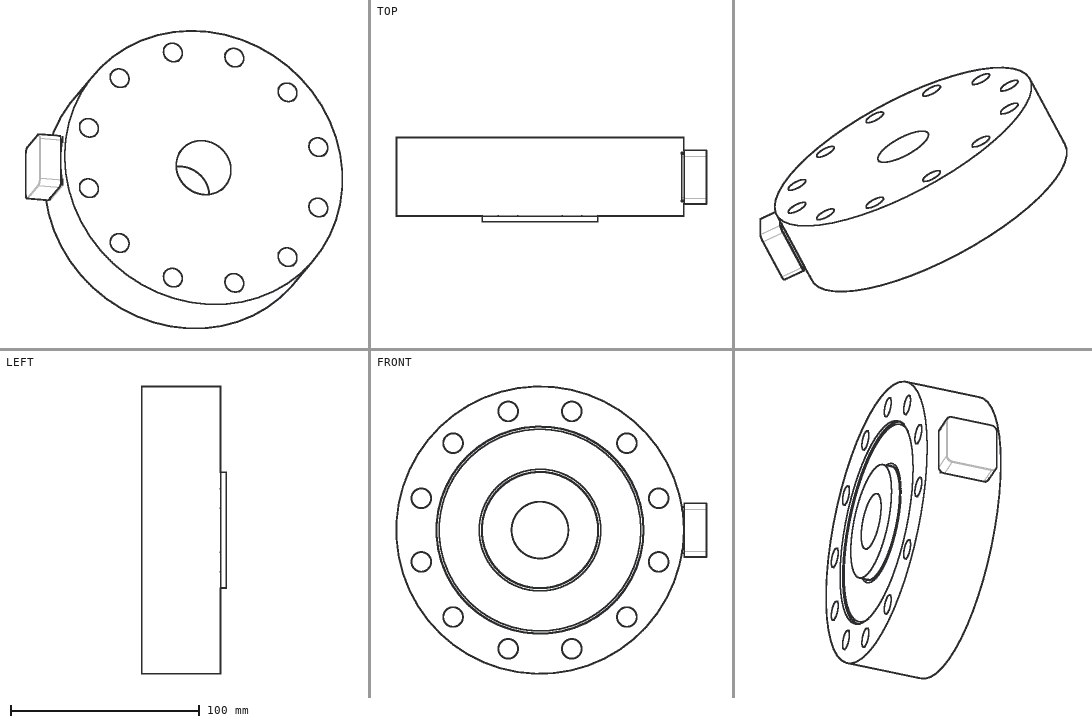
import cadquery as cq

body_diameter = 152.4
overall_thickness = 44.83
hub_height = 3.05
body_thickness = overall_thickness - hub_height
mounting_face_y = -body_thickness / 2
back_face_y = body_thickness / 2
bore_diameter = 30.0

hub_diameter = 61.39

recess_diameter = 109.98
recess_depth = 1.4

clearance_width = 0.255
lip_thickness = 0.38
inner_relief_diameter = 64.52
outer_relief_diameter = 106.93
relief_depth = 1.27

bolt_hole_count = 12
bolt_hole_diameter = 10.31
bolt_circle_diameter = 130.2

connector_y = -0.2
slot_width = 25.9
slot_floor_x = 75.0
neck_size = 24.6
neck_corner_radius = 1.585
box_start_x = 76.4
box_end_x = 88.25
box_size = 28.6
box_corner_radius = 3.17
box_end_fillet = 0.4


def cylinder_along_y(diameter, start_y, end_y):
    """Solid cylinder on the part axis between two Y positions."""
    return (
        cq.Workplane("XZ", origin=(0, start_y, 0))
        .circle(diameter / 2)
        .extrude(start_y - end_y)
    )


def rounded_square_bar(size, corner_radius, start_x, end_x):
    """Square bar along X with its four long edges rounded."""
    return (
        cq.Workplane("YZ", origin=(start_x, connector_y, 0))
        .rect(size, size)
        .extrude(end_x - start_x)
        .edges("|X")
        .fillet(corner_radius)
    )


def ring_along_y(inner_diameter, outer_diameter, start_y, end_y):
    """Solid ring on the part axis between two Y positions."""
    outer = cylinder_along_y(outer_diameter, start_y, end_y)
    return outer.cut(cylinder_along_y(inner_diameter, start_y, end_y))


def recess_cutter():
    """Ring-shaped recess with an undercut clearance gap beside each of its walls."""
    floor_y = mounting_face_y + recess_depth
    relief_top_y = floor_y + lip_thickness
    relief_bottom_y = relief_top_y + relief_depth
    ring = ring_along_y(hub_diameter, recess_diameter, mounting_face_y, relief_bottom_y)
    lip = ring_along_y(
        hub_diameter + 2 * clearance_width,
        recess_diameter - 2 * clearance_width,
        floor_y,
        relief_top_y,
    )
    plateau = ring_along_y(
        inner_relief_diameter, outer_relief_diameter, floor_y, relief_bottom_y
    )
    return ring.cut(lip).cut(plateau)


def make_disc():
    """Body with hub, recess, bore and bolt holes."""
    hub_face_y = mounting_face_y - hub_height
    hub = cylinder_along_y(hub_diameter, hub_face_y, back_face_y)
    disc = cylinder_along_y(body_diameter, mounting_face_y, back_face_y)
    disc = disc.cut(recess_cutter()).union(hub)
    disc = disc.cut(cylinder_along_y(bore_diameter, hub_face_y, back_face_y))
    half_pitch_angle = 180 / bolt_hole_count
    bolt_holes = (
        cq.Workplane("XZ", origin=(0, back_face_y, 0))
        .polarArray(bolt_circle_diameter / 2, half_pitch_angle, 360, bolt_hole_count)
        .circle(bolt_hole_diameter / 2)
        .extrude(body_thickness)
    )
    return disc.cut(bolt_holes)


def cut_connector_slot(disc):
    """Flat-floored slot across the rim where the connector sits."""
    slot_depth = body_diameter / 2 - slot_floor_x
    slot = (
        cq.Workplane("YZ", origin=(slot_floor_x, connector_y, 0))
        .rect(slot_width, body_diameter)
        .extrude(slot_depth)
    )
    return disc.cut(slot)


def make_connector():
    """Narrow neck carrying the rounded connector box."""
    neck = rounded_square_bar(neck_size, neck_corner_radius, slot_floor_x, box_start_x)
    box = rounded_square_bar(box_size, box_corner_radius, box_start_x, box_end_x)
    box = box.faces(">X").edges().fillet(box_end_fillet)
    return neck.union(box)


result = cut_connector_slot(make_disc()).union(make_connector())